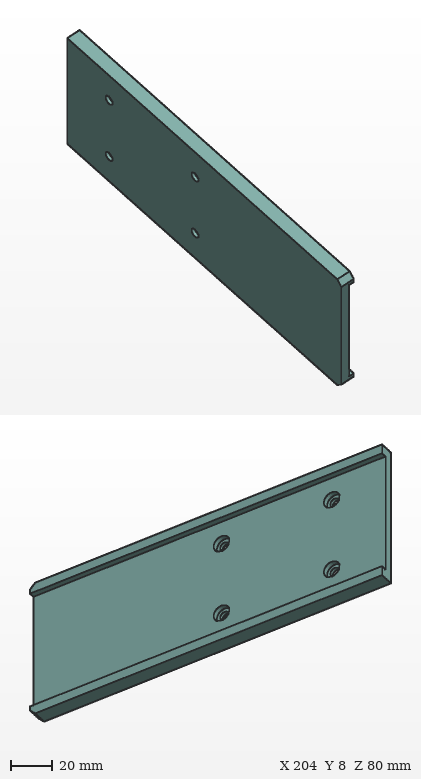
import cadquery as cq

length = 204.0
thickness = 8.0
height = 80.0

web_thickness = 4.9
lip_height = 5.5

corner_chamfer = 3.0

hole_diameter = 5.0
hole_spacing_x = 63.9
hole_spacing_z = 42.5
first_hole_x = 31.2

counterbore_diameter = 9.0
seat_thickness = 2.0


def hole_pattern(diameter, start_y, end_y):
    """Cylinders along Y at the four mounting positions."""
    return (
        cq.Workplane("XZ", origin=(0, start_y, 0))
        .center(first_hole_x + hole_spacing_x / 2, 0)
        .rarray(hole_spacing_x, hole_spacing_z, 2, 2)
        .circle(diameter / 2)
        .extrude(start_y - end_y)
    )


plate = (
    cq.Workplane("XY")
    .box(length, thickness, height, centered=(False, False, True))
    .edges("|Y and >X")
    .chamfer(corner_chamfer)
)

channel = (
    cq.Workplane("XY")
    .box(length, thickness - web_thickness, height - 2 * lip_height, centered=(False, False, True))
    .translate((0, web_thickness, 0))
)

holes = hole_pattern(hole_diameter, 0, web_thickness)
counterbores = hole_pattern(counterbore_diameter, seat_thickness, web_thickness)

result = plate.cut(channel).cut(holes).cut(counterbores)